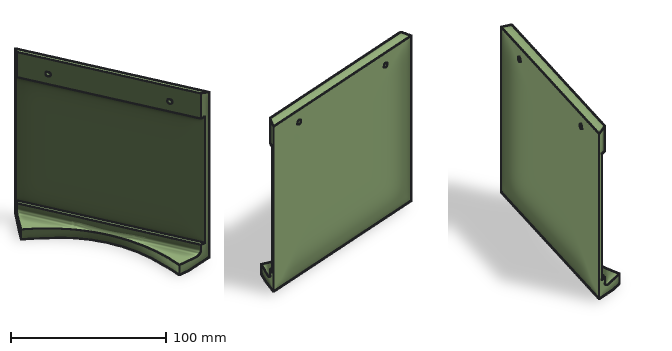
import cadquery as cq
import math

width = 134.0
depth = 21.5
height = 136.0

plate_thickness = 6.0
panel_thickness = 3.0
top_bevel_drop = 2.0
recess_bottom = 16.0
recess_height = 100.0
recess_top = recess_bottom + recess_height
ledge_top = 8.0
ledge_fillet = 4.0
bottom_slope_rise = 3.0
bottom_slope_depth = 15.0

side_angle = 60.0
side_inset = depth / math.tan(math.radians(side_angle))
front_half_width = width / 2 - side_inset
arc_middle_depth = 7.0

hole_diameter = 3.5
hole_spacing = 84.0
hole_below_top = 12.0


def side_profile():
    """Recessed plate with a square-cornered ledge at its foot, extruded along X."""
    return (
        cq.Workplane("YZ")
        .moveTo(0, bottom_slope_rise)
        .lineTo(-bottom_slope_depth, 0)
        .lineTo(-depth, 0)
        .lineTo(-depth, ledge_top)
        .lineTo(-plate_thickness, ledge_top)
        .lineTo(-plate_thickness, recess_bottom)
        .lineTo(-panel_thickness, recess_bottom)
        .lineTo(-panel_thickness, recess_top)
        .lineTo(-plate_thickness, recess_top)
        .lineTo(-plate_thickness, height)
        .lineTo(0, height - top_bevel_drop)
        .close()
        .extrude(width / 2, both=True)
    )


def plan_outline():
    """Slanted sides and a concave front edge, extruded along Z."""
    return (
        cq.Workplane("XY")
        .moveTo(-width / 2, 0)
        .lineTo(-front_half_width, -depth)
        .threePointArc((0, -arc_middle_depth), (front_half_width, -depth))
        .lineTo(width / 2, 0)
        .close()
        .extrude(height)
    )


def screw_holes():
    """Two cylinders that pass through the top band."""
    return (
        cq.Workplane("XZ")
        .pushPoints([(side * hole_spacing / 2, height - hole_below_top) for side in (-1, 1)])
        .circle(hole_diameter / 2)
        .extrude(plate_thickness)
    )


def fillet_ledge(body):
    """Round the inner corner; the fillet narrows where the concave edge cuts the ledge short."""
    corner = cq.selectors.NearestToPointSelector((0, -plate_thickness, ledge_top))
    return body.edges("|X").edges(corner).fillet(ledge_fillet)


body = side_profile().intersect(plan_outline())
result = fillet_ledge(body).cut(screw_holes())